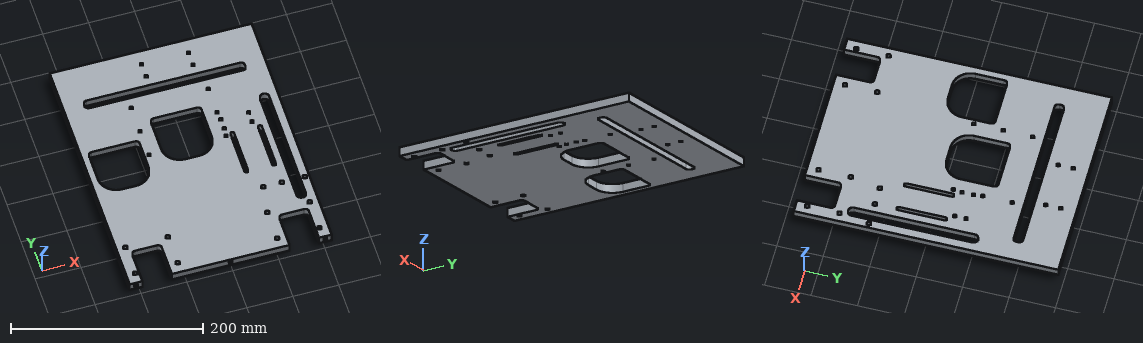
import cadquery as cq

WIDTH = 220.0
LENGTH = 285.0
THICKNESS = 10.0
FRONT_Y = -LENGTH / 2

LEG_WIDTH = 14.0
NOTCH_WIDTH = 32.0
NOTCH_DEPTH = 40.0
CORNER_RADIUS = 4.0
NOTCH_X = WIDTH / 2 - LEG_WIDTH - NOTCH_WIDTH / 2

WINDOW_WIDTH = 55.0
WINDOW_LOWER_RADIUS = 20.0
CENTRE_WINDOW_TOP = 55.3
CENTRE_WINDOW_HEIGHT = 59.8
SIDE_WINDOW_X = -74.5
SIDE_WINDOW_TOP = 32.5
SIDE_WINDOW_HEIGHT = WINDOW_WIDTH

WIDE_SLOT_WIDTH = 10.0
CROSS_SLOT_LENGTH = 175.0
CROSS_SLOT_Y = 92.5
SIDE_SLOT_LENGTH = 140.0
SIDE_SLOT_X = 95.0
SIDE_SLOT_Y = -17.7
NARROW_SLOT_WIDTH = 4.0
NARROW_SLOT_LENGTH = 54.0
NARROW_SLOT_X = (49.0, 79.2)
NARROW_SLOT_Y = -12.5

SMALL_HOLE_DIAMETER = 3.5
REAR_HOLE_X = (-15.0, 36.0)
REAR_HOLE_Y = (125.7, 109.5)
MIDDLE_HOLE_X = 42.0
MIDDLE_HOLE_TOP_Y = 75.0
MIDDLE_HOLE_PITCH = 31.5
MIDDLE_HOLE_ROWS = 3
SLOT_HOLE_X = (43.0, 73.2)
SLOT_HOLE_Y = (33.5, 21.5)

LARGE_HOLE_DIAMETER = 4.5
ROW_HOLE_X = (59.8, 80.0, 105.0)
ROW_HOLE_Y = -62.7
FRONT_HOLE_X = (54.2, 100.3)
FRONT_HOLE_Y = (-95.5, -130.2)

EDGE_HOLE_DIAMETER = 4.0
EDGE_HOLE_DEPTH = 20.0
EDGE_HOLE_X = WIDTH / 2 - LEG_WIDTH / 2


def grid(x_values, y_values):
    """Every combination of the given X and Y places."""
    return [(x, y) for x in x_values for y in y_values]


def block(x, y, width, length):
    """Block of plate thickness centred at (x, y)."""
    return cq.Workplane("XY").center(x, y).box(width, length, THICKNESS)


def window(x, top, height):
    """Cutter for a window whose lower corners are rounded more than its upper ones."""
    cutter = block(x, top - height / 2, WINDOW_WIDTH, height)
    cutter = cutter.edges("|Z and >Y").fillet(CORNER_RADIUS)
    return cutter.edges("|Z and <Y").fillet(WINDOW_LOWER_RADIUS)


def notch(x):
    """Cutter for a front notch with rounded inner corners."""
    cutter = block(x, FRONT_Y + NOTCH_DEPTH / 2, NOTCH_WIDTH, NOTCH_DEPTH)
    return cutter.edges("|Z and >Y").fillet(CORNER_RADIUS)


def lengthwise_slots(points, length, width):
    """Cutters for round-ended slots running along Y."""
    sketch = cq.Workplane("XY").pushPoints(points).slot2D(length, width, 90)
    return sketch.extrude(THICKNESS / 2, both=True)


def through_holes(points, diameter):
    """Cutters for holes through the plate thickness."""
    sketch = cq.Workplane("XY").pushPoints(points).circle(diameter / 2)
    return sketch.extrude(THICKNESS / 2, both=True)


result = cq.Workplane("XY").box(WIDTH, LENGTH, THICKNESS)

for notch_x in (-NOTCH_X, NOTCH_X):
    result = result.cut(notch(notch_x))

result = result.cut(window(0, CENTRE_WINDOW_TOP, CENTRE_WINDOW_HEIGHT))
result = result.cut(window(SIDE_WINDOW_X, SIDE_WINDOW_TOP, SIDE_WINDOW_HEIGHT))

cross_slot = block(0, CROSS_SLOT_Y, CROSS_SLOT_LENGTH, WIDE_SLOT_WIDTH)
result = result.cut(cross_slot.edges("|Z").fillet(CORNER_RADIUS))
result = result.cut(lengthwise_slots([(SIDE_SLOT_X, SIDE_SLOT_Y)], SIDE_SLOT_LENGTH, WIDE_SLOT_WIDTH))
narrow_slot_points = [(x, NARROW_SLOT_Y) for x in NARROW_SLOT_X]
result = result.cut(lengthwise_slots(narrow_slot_points, NARROW_SLOT_LENGTH, NARROW_SLOT_WIDTH))

middle_hole_y = [MIDDLE_HOLE_TOP_Y - i * MIDDLE_HOLE_PITCH for i in range(MIDDLE_HOLE_ROWS)]
small_points = grid(REAR_HOLE_X, REAR_HOLE_Y)
small_points += grid((-MIDDLE_HOLE_X, MIDDLE_HOLE_X), middle_hole_y)
small_points += grid(SLOT_HOLE_X, SLOT_HOLE_Y)
result = result.cut(through_holes(small_points, SMALL_HOLE_DIAMETER))

large_points = [(x, ROW_HOLE_Y) for x in ROW_HOLE_X]
for side in (-1, 1):
    large_points += [(side * x, y) for x, y in grid(FRONT_HOLE_X, FRONT_HOLE_Y)]
result = result.cut(through_holes(large_points, LARGE_HOLE_DIAMETER))

edge_holes = (
    cq.Workplane("XZ", origin=(0, FRONT_Y, 0))
    .pushPoints([(-EDGE_HOLE_X, 0), (0, 0), (EDGE_HOLE_X, 0)])
    .circle(EDGE_HOLE_DIAMETER / 2)
    .extrude(-EDGE_HOLE_DEPTH)
)
result = result.cut(edge_holes)